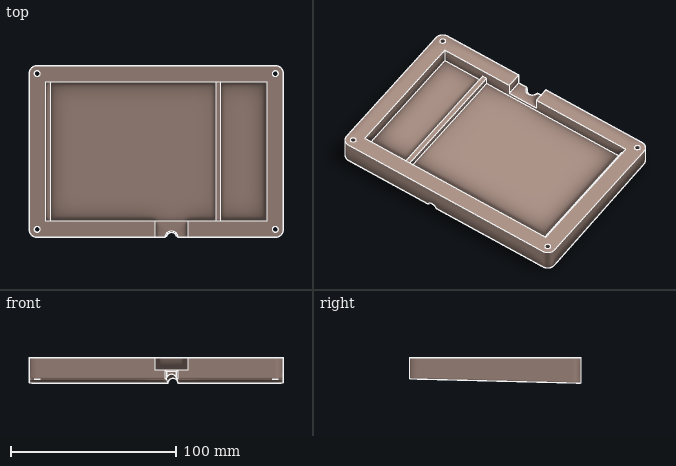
import cadquery as cq

length = 153.8
width = 104.0
back_height = 15.5
front_height = 12.9
corner_radius = 4.9
edge_break = 0.9

wall = 10.0
cavity_depth = 10.0
strip_width = 2.9
strip_height = 4.9
strip_gap = 100.0

screw_diameter = 3.4

cable_x = 9.2
cable_diameter = 6.0
channel_drift = 0.9
notch_width = 20.0
notch_depth = 7.5

cavity_length = length - 2 * wall
cavity_width = width - 2 * wall
floor_z = back_height - cavity_depth
notch_z = back_height - notch_depth
front_y = -width / 2
slope_rise = back_height - front_height
cable_radius = cable_diameter / 2


def make_body():
    """Rounded block with a sloping underside and a rounded lower rim."""
    profile = [
        (front_y, slope_rise),
        (-front_y, 0),
        (-front_y, back_height),
        (front_y, back_height),
    ]
    block = cq.Workplane("YZ").polyline(profile).close().extrude(length / 2, both=True)
    block = block.edges("|Z").fillet(corner_radius)
    return block.faces("<Z").edges().fillet(edge_break)


def make_cable_cut():
    """Half-round down the front wall joined to a half-round channel along the underside."""
    groove = cq.Workplane("XY").center(cable_x, front_y).circle(cable_radius).extrude(notch_z)

    flare = [
        (-cable_radius - edge_break, 0),
        (-cable_radius, edge_break),
        (cable_radius, edge_break),
        (cable_radius + edge_break, 0),
    ]
    groove_flare = (
        cq.Workplane("XY").center(cable_x, front_y).polyline(flare).close().extrude(notch_z)
    )

    cone_base = cq.Vector(cable_x, front_y, notch_z - edge_break)
    cone = cq.Solid.makeCone(cable_radius, cable_radius + edge_break, edge_break, pnt=cone_base)

    channel_start = cq.Vector(cable_x, front_y, slope_rise)
    channel_end = cq.Vector(cable_x + channel_drift, -front_y, 0)
    direction = channel_end - channel_start
    overrun = direction.normalized() * cable_diameter
    channel = cq.Solid.makeCylinder(
        cable_radius,
        direction.Length + 2 * cable_diameter,
        channel_start - overrun,
        direction,
    )
    return [groove, groove_flare, cq.Workplane(cone), cq.Workplane(channel)]


def make_strip(left_x):
    """Raised strip across the cavity floor."""
    return (
        cq.Workplane("XY")
        .box(strip_width, cavity_width, strip_height, centered=(False, True, False))
        .translate((left_x, 0, floor_z))
    )


body = make_body()

notch = (
    cq.Workplane("XY")
    .box(notch_width, 2 * wall, notch_depth, centered=(True, True, False))
    .translate((cable_x, front_y, notch_z))
)
body = body.cut(notch)
for tool in make_cable_cut():
    body = body.cut(tool)

cavity = (
    cq.Workplane("XY")
    .box(cavity_length, cavity_width, cavity_depth, centered=(True, True, False))
    .translate((0, 0, floor_z))
)
body = body.cut(cavity)

first_strip_x = -cavity_length / 2
for strip_x in (first_strip_x, first_strip_x + strip_width + strip_gap):
    body = body.union(make_strip(strip_x))

screw_holes = (
    cq.Workplane("XY")
    .rect(length - 2 * corner_radius, width - 2 * corner_radius, forConstruction=True)
    .vertices()
    .circle(screw_diameter / 2)
    .extrude(back_height)
)
result = body.cut(screw_holes)